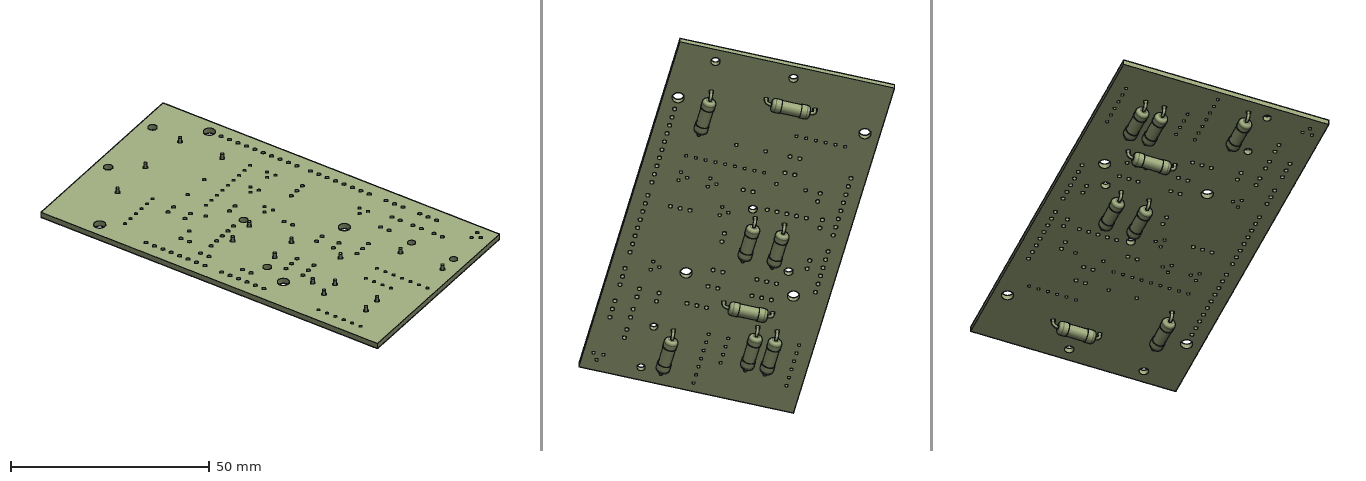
import cadquery as cq
import math

BOARD_LENGTH = 101.6
BOARD_WIDTH = 55.9
BOARD_THICKNESS = 1.6

LARGE_MOUNT_DIAMETER = 3.0
SIDE_MOUNT_DIAMETER = 2.3
INNER_MOUNT_DIAMETER = 2.2
CORNER_MOUNT_DIAMETER = 2.0
HEADER_HOLE_DIAMETER = 1.0
WIDE_PAIR_HOLE_DIAMETER = 0.89
MODULE_HOLE_DIAMETER = 0.76
TRANSISTOR_HOLE_DIAMETER = 0.8
LEAD_HOLE_DIAMETER = 1.2

PITCH = 2.5
STEP = PITCH / 2
STEPS_PER_PITCH = 2
HEADER_ROW_Y = 19
TRANSISTOR_APEX_STEPS = 1.5

LEAD_SPAN_STEPS = 10
LEAD_SPAN = LEAD_SPAN_STEPS * STEP
LEAD_DIAMETER = 0.8
LEAD_PROTRUSION = 1.3
LEAD_BEND_RADIUS = 1.2
BODY_LENGTH = 10.0
CAP_DIAMETER = 3.6
CAP_LENGTH = 2.4
CAP_EDGE_RADIUS = 0.9
BARREL_DIAMETER = 3.3
BODY_GAP = 0.1
BODY_AXIS_Z = -(BODY_GAP + CAP_DIAMETER / 2)


def row(x, y, count):
    """Places one pitch apart, going right from (x, y)."""
    return [(x + i * STEPS_PER_PITCH, y) for i in range(count)]


def column(x, y, count):
    """Places one pitch apart, going down from (x, y)."""
    return [(x, y - i * STEPS_PER_PITCH) for i in range(count)]


LARGE_MOUNTS = [(-27, HEADER_ROW_Y), (-28, -HEADER_ROW_Y), (13, 7), (13, -15)]
SIDE_MOUNTS = [(-37.2, 14), (-37.2, -2)]
INNER_MOUNTS = [(-5, -2), (7.6, -12.6)]
CORNER_MOUNTS = [(27, 10), (37, 10)]

HEADER_HOLES = (
    row(-24.2, HEADER_ROW_Y, 10)
    + row(-3, HEADER_ROW_Y, 8)
    + row(15, HEADER_ROW_Y, 3)
    + row(23, HEADER_ROW_Y, 3)
    + row(-17, -HEADER_ROW_Y, 8)
    + row(1, -HEADER_ROW_Y, 6)
    + row(19, 15, 2)
    + row(24, 15, 2)
    + row(29, 15, 2)
    + row(19, 11, 2)
    + row(-12, -14, 2)
    + row(-6, -16, 2)
    + row(4, -16, 2)
    + column(-1.6, 14, 3)
    + column(20, 5, 3)
    + column(-9, 1, 2)
    + column(-5.6, -4.8, 5)
    + column(-19, -6, 2)
    + column(-15, -6, 2)
    + column(11, 2, 2)
    + column(15, 2, 2)
    + column(11, -7, 3)
    + column(15, -7, 3)
    + row(2, 2, 2)
)
WIDE_PAIR_HOLES = [(-19, 5), (-19, -1), (-12, -5), (-12, -11)]
MODULE_HOLES = (
    column(-14, 14, 9)
    + column(-24, -6, 6)
    + row(26, -1, 7)
    + row(26, -5, 4)
    + row(24, -HEADER_ROW_Y, 6)
)

TRANSISTORS = [
    (-9, 14, 0, -1),
    (-9, 8, 0, -1),
    (-3, 4, 0, -1),
    (13, 14, 0, -1),
    (36, 19, 1, 0),
]

RESISTORS = [
    (-30, 13, 0),
    (-3, -3, 0),
    (-3, -9, 0),
    (27, 6, 0),
    (22, -10, 0),
    (22, -14, 0),
    (-31, 2, -90),
    (18, -2, -90),
]


def transistor_holes(x, y, ux, uy):
    """Two outer legs one pitch apart and a middle leg set off along (ux, uy)."""
    return [
        (x - uy, y - ux),
        (x + uy, y + ux),
        (x + ux * TRANSISTOR_APEX_STEPS, y + uy * TRANSISTOR_APEX_STEPS),
    ]


TRANSISTOR_HOLES = [point for transistor in TRANSISTORS for point in transistor_holes(*transistor)]


def place(shape, x, y, angle):
    """Turn a shape about Z, then move it to the place (x, y) on the board."""
    return shape.rotate((0, 0, 0), (0, 0, 1), angle).translate((x * STEP, y * STEP, 0))


def rod(x, diameter, length):
    """Round bar on the resistor axis, running along +X from x."""
    return cq.Workplane("YZ", origin=(x, 0, BODY_AXIS_Z)).circle(diameter / 2).extrude(length)


def make_resistor():
    """Resistor along +X with its first lead on the Z axis."""
    start = (LEAD_SPAN - BODY_LENGTH) / 2
    body = rod(start, BARREL_DIAMETER, BODY_LENGTH)
    for cap_start in (start, start + BODY_LENGTH - CAP_LENGTH):
        body = body.union(rod(cap_start, CAP_DIAMETER, CAP_LENGTH))
    body = body.faces("<X or >X").edges().fillet(CAP_EDGE_RADIUS)

    top = BOARD_THICKNESS + LEAD_PROTRUSION
    path = (
        cq.Workplane("XZ")
        .moveTo(0, top)
        .lineTo(0, BODY_AXIS_Z + LEAD_BEND_RADIUS)
        .radiusArc((LEAD_BEND_RADIUS, BODY_AXIS_Z), -LEAD_BEND_RADIUS)
        .lineTo(start + CAP_EDGE_RADIUS, BODY_AXIS_Z)
    )
    lead = cq.Workplane("XY", origin=(0, 0, top)).circle(LEAD_DIAMETER / 2).sweep(path)
    far_lead = lead.mirror("YZ").translate((LEAD_SPAN, 0, 0))
    return body.union(lead).union(far_lead)


def lead_holes():
    """The two board holes of every resistor."""
    points = []
    for x, y, angle in RESISTORS:
        turn = math.radians(angle)
        points.append((x, y))
        points.append((x + LEAD_SPAN_STEPS * math.cos(turn), y + LEAD_SPAN_STEPS * math.sin(turn)))
    return points


def make_board():
    """Plain plate with all its through holes."""
    plate = cq.Workplane("XY").rect(BOARD_LENGTH, BOARD_WIDTH).extrude(BOARD_THICKNESS)
    hole_groups = [
        (LARGE_MOUNT_DIAMETER, LARGE_MOUNTS),
        (SIDE_MOUNT_DIAMETER, SIDE_MOUNTS),
        (INNER_MOUNT_DIAMETER, INNER_MOUNTS),
        (CORNER_MOUNT_DIAMETER, CORNER_MOUNTS),
        (HEADER_HOLE_DIAMETER, HEADER_HOLES),
        (WIDE_PAIR_HOLE_DIAMETER, WIDE_PAIR_HOLES),
        (MODULE_HOLE_DIAMETER, MODULE_HOLES),
        (TRANSISTOR_HOLE_DIAMETER, TRANSISTOR_HOLES),
        (LEAD_HOLE_DIAMETER, lead_holes()),
    ]
    for diameter, places in hole_groups:
        centers = [(x * STEP, y * STEP) for x, y in places]
        holes = cq.Workplane("XY").pushPoints(centers).circle(diameter / 2).extrude(BOARD_THICKNESS)
        plate = plate.cut(holes)
    return plate


board = make_board()
resistor = make_resistor()
resistors = [place(resistor, *placement) for placement in RESISTORS]

result = cq.Compound.makeCompound([board.val(), *[r.val() for r in resistors]])